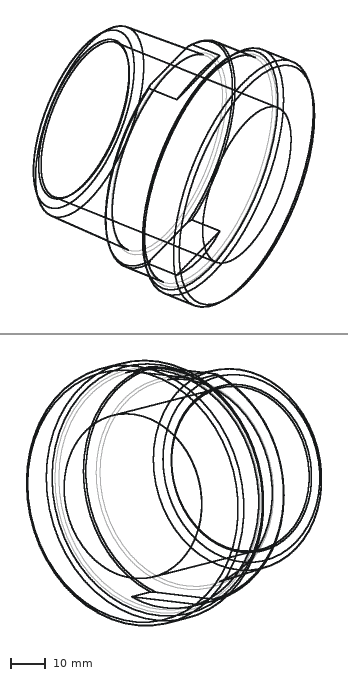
import cadquery as cq
import math

length = 55.5
shoulder_x = 29.0
flange_x = 43.0
flat_end_x = 39.0

bore_radius = 48.0 / 2
collar_radius = 70.0 / 2
flange_radius = 75.85 / 2

taper_tip_radius = 58.6 / 2
taper_slope = 1 / 32

spigot_chamfer = 2.0
bore_chamfer = 0.5
collar_chamfer = 0.5
flange_chamfer = 1.2
root_fillet = 0.8

across_flats = 66.0
flat_wall_angle = 15.0


def spigot_radius(x):
    """Radius of the tapered spigot at axial position x."""
    return taper_tip_radius + x * taper_slope


def add_root_fillet(outline, face_x, radius):
    """Run to a shoulder face at face_x through a concave quarter-round."""
    mid_offset = root_fillet * (1 - math.sqrt(0.5))
    return outline.lineTo(face_x - root_fillet, radius).threePointArc(
        (face_x - mid_offset, radius + mid_offset),
        (face_x, radius + root_fillet),
    )


def make_body():
    """Spigot, collar and flange revolved about X, with the through bore."""
    spigot_root_radius = spigot_radius(shoulder_x - root_fillet)
    outline = (
        cq.Workplane("XY")
        .moveTo(bore_chamfer, bore_radius)
        .lineTo(0, bore_radius + bore_chamfer)
        .lineTo(0, spigot_radius(spigot_chamfer) - spigot_chamfer)
        .lineTo(spigot_chamfer, spigot_radius(spigot_chamfer))
    )
    outline = add_root_fillet(outline, shoulder_x, spigot_root_radius)
    outline = (
        outline
        .lineTo(shoulder_x, collar_radius - collar_chamfer)
        .lineTo(shoulder_x + collar_chamfer, collar_radius)
    )
    outline = add_root_fillet(outline, flange_x, collar_radius)
    outline = (
        outline
        .lineTo(flange_x, flange_radius - flange_chamfer)
        .lineTo(flange_x + flange_chamfer, flange_radius)
        .lineTo(length - flange_chamfer, flange_radius)
        .lineTo(length, flange_radius - flange_chamfer)
        .lineTo(length, bore_radius)
        .close()
    )
    return outline.revolve(360, (0, 0, 0), (1, 0, 0))


def make_flat_cutter():
    """Block that mills the upper flat, open at the shoulder end."""
    flat_z = across_flats / 2
    top_z = collar_radius + root_fillet
    wall_run = (top_z - flat_z) * math.tan(math.radians(flat_wall_angle))
    return (
        cq.Workplane("XZ")
        .moveTo(shoulder_x, flat_z)
        .lineTo(flat_end_x, flat_z)
        .lineTo(flat_end_x + wall_run, top_z)
        .lineTo(shoulder_x, top_z)
        .close()
        .extrude(collar_radius, both=True)
    )


result = make_body()
flat_cutter = make_flat_cutter()
for angle in (0, 180):
    result = result.cut(flat_cutter.rotate((0, 0, 0), (1, 0, 0), angle))